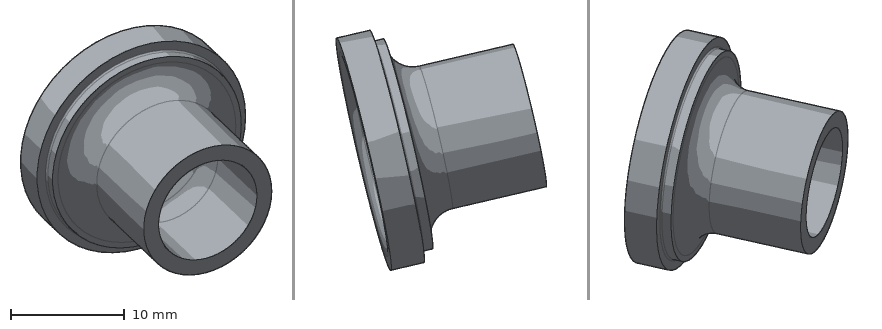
import cadquery as cq
import math

total_length = 15.0
flange_thickness = 3.0
step_end = 4.0

flange_radius = 21.0 / 2
step_radius = 19.0 / 2
tube_radius = 12.9 / 2
step_fillet = 0.15
neck_fillet = 2.5

bore_radius = 9.9 / 2
mouth_radius = 18.5 / 2
lip_fillet = 1.5
throat_fillet = 7.8
cone_angle = math.radians(31)


def point_on_arc(center, radius, angle):
    """Point (x, r) on a circle, at an angle measured from the +X direction."""
    return (center[0] + radius * math.cos(angle), center[1] + radius * math.sin(angle))


def revolve_about_x(profile):
    """Close a half profile along the X axis and revolve it into a solid."""
    return profile.close().revolve(360, (0, 0, 0), (1, 0, 0))


def make_body():
    """Flange, step and tube, with rounded inside corners."""
    step_center = (flange_thickness + step_fillet, step_radius + step_fillet)
    neck_center = (step_end + neck_fillet, tube_radius + neck_fillet)
    corner_middle = math.radians(225)
    step_middle = point_on_arc(step_center, step_fillet, corner_middle)
    neck_middle = point_on_arc(neck_center, neck_fillet, corner_middle)

    profile = (
        cq.Workplane("XY")
        .moveTo(0, 0)
        .lineTo(0, flange_radius)
        .lineTo(flange_thickness, flange_radius)
        .lineTo(flange_thickness, step_center[1])
        .threePointArc(step_middle, (step_center[0], step_radius))
        .lineTo(step_end, step_radius)
        .lineTo(step_end, neck_center[1])
        .threePointArc(neck_middle, (neck_center[0], tube_radius))
        .lineTo(total_length, tube_radius)
        .lineTo(total_length, 0)
    )
    return revolve_about_x(profile)


def make_bore():
    """Through bore with a conical mouth; the lip and throat rounds are tangent to the cone."""
    face_normal = math.pi
    bore_normal = 1.5 * math.pi
    cone_normal = bore_normal - cone_angle

    lip_center = (lip_fillet, mouth_radius)
    lip_middle = point_on_arc(lip_center, lip_fillet, (face_normal + cone_normal) / 2)
    cone_start = point_on_arc(lip_center, lip_fillet, cone_normal)

    throat_center_r = bore_radius + throat_fillet
    cone_end_r = throat_center_r + throat_fillet * math.sin(cone_normal)
    cone_end_x = cone_start[0] + (cone_start[1] - cone_end_r) / math.tan(cone_angle)
    throat_center = (cone_end_x - throat_fillet * math.cos(cone_normal), throat_center_r)
    throat_middle = point_on_arc(throat_center, throat_fillet, (cone_normal + bore_normal) / 2)

    profile = (
        cq.Workplane("XY")
        .moveTo(0, 0)
        .lineTo(0, mouth_radius)
        .threePointArc(lip_middle, cone_start)
        .lineTo(cone_end_x, cone_end_r)
        .threePointArc(throat_middle, (throat_center[0], bore_radius))
        .lineTo(total_length, bore_radius)
        .lineTo(total_length, 0)
    )
    return revolve_about_x(profile)


result = make_body().cut(make_bore())